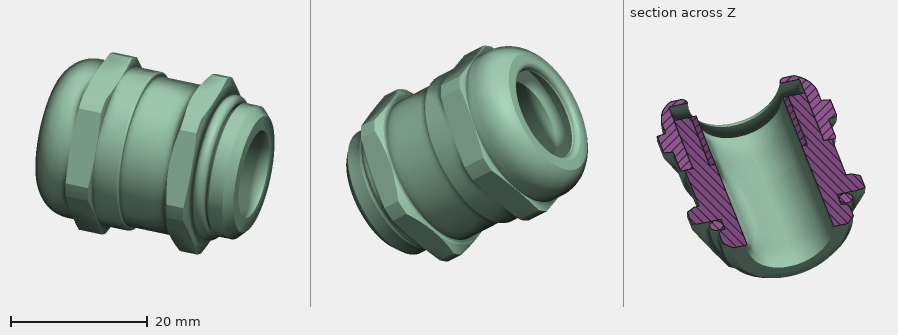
import cadquery as cq
import math


HEX_FLATS = 24.0
HEX_CORNER_D = 26.49
SHALLOW_ANGLE = math.radians(10)
STEEP_ANGLE = math.radians(30)

NUT_D = 23.8
DOME_FACE_D = 18.75
DOME_LENGTH = 4.2
NUT_HEX_START = 5.9
NUT_HEX_LENGTH = 3.93
NUT_LENGTH = 13.82
NUT_END_FILLET = 0.3
ENTRY_MOUTH_D = 15.8
ENTRY_FILLET_D = 14.2
ENTRY_THROAT_D = 14.0
ENTRY_LIP_END = 1.02
NUT_BORE_D = 19.9

BARREL_D = 22.5
BODY_HEX_START = 21.2
BODY_HEX_END = 24.7
GROOVE_D = 17.8
GROOVE_WIDTH = 2.0
GROOVE_SHOULDER_D = 18.9
THREAD_D = 20.0
THREAD_CHAMFER = 1.25
TOTAL_LENGTH = 30.69
BORE_D = 13.15

SLEEVE_D = 14.8
SLEEVE_START = 3.75


def revolve_x(profile):
    """Turn a closed XY profile (X along the gland, Y as radius) about the X axis."""
    return profile.close().revolve(360, (0, 0, 0), (1, 0, 0))


def hexagon(start, end, start_angle, end_angle):
    """Hexagon with flats on +Z and -Z, its corners turned down and its ends coned from the flats."""
    corner_r = HEX_CORNER_D / 2
    flat_r = HEX_FLATS / 2
    start_cone = (corner_r - flat_r) * math.tan(start_angle)
    end_cone = (corner_r - flat_r) * math.tan(end_angle)
    prism = (
        cq.Workplane("YZ")
        .workplane(offset=start)
        .polygon(6, HEX_FLATS / math.cos(math.radians(30)))
        .extrude(end - start)
    )
    turned = revolve_x(
        cq.Workplane("XY")
        .moveTo(start, 0)
        .lineTo(start, flat_r)
        .lineTo(start + start_cone, corner_r)
        .lineTo(end - end_cone, corner_r)
        .lineTo(end, flat_r)
        .lineTo(end, 0)
    )
    return prism.intersect(turned)


def cylinder(diameter, start, end):
    """Plain cylinder along X."""
    return cq.Workplane("YZ").workplane(offset=start).circle(diameter / 2).extrude(end - start)


def make_dome_nut():
    nut_r = NUT_D / 2
    dome_rise = nut_r - DOME_FACE_D / 2
    dome_r = (DOME_LENGTH**2 + dome_rise**2) / (2 * dome_rise)
    half_sweep = math.asin(DOME_LENGTH / dome_r) / 2
    dome_mid = (
        DOME_LENGTH - dome_r * math.sin(half_sweep),
        nut_r - dome_r * (1 - math.cos(half_sweep)),
    )
    shell = revolve_x(
        cq.Workplane("XY")
        .lineTo(0, DOME_FACE_D / 2)
        .threePointArc(dome_mid, (DOME_LENGTH, nut_r))
        .lineTo(NUT_LENGTH, nut_r)
        .lineTo(NUT_LENGTH, 0)
    )
    shell = shell.faces(">X").edges().fillet(NUT_END_FILLET)
    hex_end = NUT_HEX_START + NUT_HEX_LENGTH
    shell = shell.union(hexagon(NUT_HEX_START, hex_end, SHALLOW_ANGLE, SHALLOW_ANGLE))

    entry_fillet = (ENTRY_MOUTH_D - ENTRY_FILLET_D) / 2
    arc_inset = entry_fillet * (1 - math.sqrt(0.5))
    cavity = revolve_x(
        cq.Workplane("XY")
        .lineTo(0, ENTRY_MOUTH_D / 2)
        .threePointArc(
            (arc_inset, ENTRY_FILLET_D / 2 + arc_inset),
            (entry_fillet, ENTRY_FILLET_D / 2),
        )
        .lineTo(ENTRY_LIP_END, ENTRY_THROAT_D / 2)
        .lineTo(ENTRY_LIP_END, NUT_BORE_D / 2)
        .lineTo(NUT_LENGTH, NUT_BORE_D / 2)
        .lineTo(NUT_LENGTH, 0)
    )
    return shell.cut(cavity)


def make_body():
    groove_end = BODY_HEX_END + GROOVE_WIDTH
    shoulder_chamfer = (THREAD_D - GROOVE_SHOULDER_D) / 2
    spigot = revolve_x(
        cq.Workplane("XY")
        .moveTo(BODY_HEX_END, 0)
        .lineTo(BODY_HEX_END, GROOVE_D / 2)
        .lineTo(groove_end, GROOVE_D / 2)
        .lineTo(groove_end, GROOVE_SHOULDER_D / 2)
        .lineTo(groove_end + shoulder_chamfer, THREAD_D / 2)
        .lineTo(TOTAL_LENGTH - THREAD_CHAMFER, THREAD_D / 2)
        .lineTo(TOTAL_LENGTH, THREAD_D / 2 - THREAD_CHAMFER)
        .lineTo(TOTAL_LENGTH, 0)
    )
    return (
        cylinder(NUT_BORE_D, SLEEVE_START, NUT_LENGTH)
        .union(cylinder(BARREL_D, NUT_LENGTH, BODY_HEX_START))
        .union(hexagon(BODY_HEX_START, BODY_HEX_END, STEEP_ANGLE, SHALLOW_ANGLE))
        .union(spigot)
        .cut(cylinder(BORE_D, SLEEVE_START, TOTAL_LENGTH))
        .cut(cylinder(SLEEVE_D, SLEEVE_START, NUT_LENGTH))
    )


def make_sleeve():
    return cylinder(SLEEVE_D, SLEEVE_START, NUT_LENGTH).cut(cylinder(BORE_D, SLEEVE_START, NUT_LENGTH))


def make_o_ring():
    section_r = GROOVE_WIDTH / 2
    ring_r = GROOVE_D / 2 + section_r
    return (
        cq.Workplane("XY")
        .center(BODY_HEX_END + section_r, ring_r)
        .circle(section_r)
        .revolve(360, (0, -ring_r, 0), (1, -ring_r, 0))
    )


dome_nut = make_dome_nut()
body = make_body()
sleeve = make_sleeve()
o_ring = make_o_ring()

result = cq.Compound.makeCompound([dome_nut.val(), body.val(), sleeve.val(), o_ring.val()])